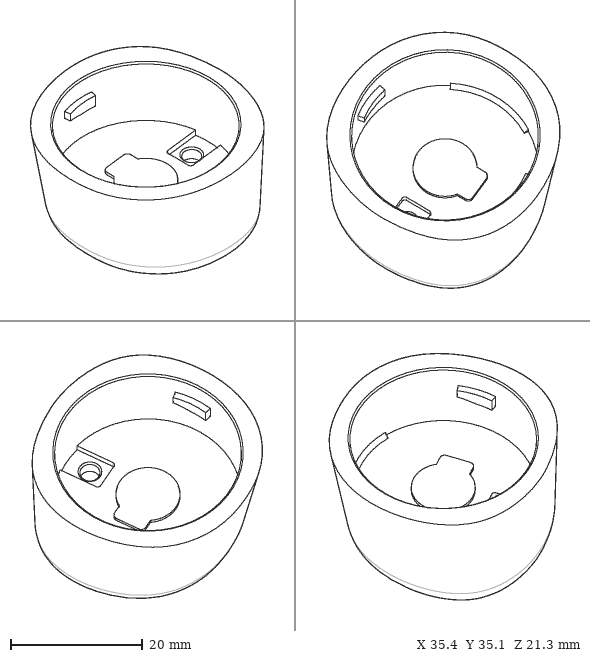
import cadquery as cq
import math

FORWARD_DIRECTION = 120

RIM_OUTLINE = [
    (0, 16.95),
    (20, 17.22),
    (38, 17.82),
    (55, 18.0),
    (100, 17.3),
    (132, 17.57),
    (156, 17.4),
    (180, 17.1),
    (204, 17.4),
    (228, 17.47),
    (260, 17.3),
    (310, 18.05),
    (333, 17.4),
]

WALL_HEIGHT = 23
FOOT_LENGTH_SCALE = 0.87
FOOT_WIDTH_SCALE = 0.9
FOOT_SHIFT = 1.8

BOTTOM_DEPTH = 20.12
BOTTOM_TILT = 5.5
BOTTOM_FILLET = 4.42

BORE_RADIUS = 14.2
BORE_DEPTH = 11.75
EDGE_CHAMFER = 0.3

BOSS_HEIGHT = 0.53
BOSS_RADIUS = 4.88
KEY_REACH = 6.3
KEY_WIDTH = 5.45
KEY_CORNER = 0.78

POCKET_START = 7.2
POCKET_WIDTH = 5.13
POCKET_OFFSET = -0.18
POCKET_DEPTH = 1.05
POCKET_CORNER = 0.5
HOLE_DISTANCE = 10.25
HOLE_RADIUS = 1.52
HOLE_DEPTH = 2.12

LUG_INNER_RADIUS = 13.15
LUG_TOP = 3.6
LUG_HEIGHT = 2.12
LUG_ARC = 25
LUG_LEAD_RISE = 0.78

RIB_WIDTH = 0.7
RIB_HEIGHT = 0.7
RIB_ARC = 60

OVERLAP = 0.53


def polar_point(radius, angle):
    return (radius * math.cos(math.radians(angle)), radius * math.sin(math.radians(angle)))


def outer_body():
    rim = [polar_point(radius, angle) for angle, radius in RIM_OUTLINE]
    foot = [(FOOT_LENGTH_SCALE * x + FOOT_SHIFT, FOOT_WIDTH_SCALE * y) for x, y in rim]
    wall = (
        cq.Workplane("XY")
        .spline(rim, periodic=True)
        .close()
        .workplane(offset=-WALL_HEIGHT)
        .spline(foot, periodic=True)
        .close()
        .loft(ruled=True, combine=True)
    )
    block_size = 4 * WALL_HEIGHT
    below_bottom = (
        cq.Workplane("XY")
        .box(block_size, block_size, block_size, centered=(True, True, False))
        .translate((0, 0, -block_size))
        .rotate((0, 0, 0), (0, 1, 0), BOTTOM_TILT)
        .translate((0, 0, -BOTTOM_DEPTH))
    )
    return wall.cut(below_bottom).faces("<Z").edges().fillet(BOTTOM_FILLET)


def bore():
    hole = cq.Workplane("XY").circle(BORE_RADIUS).extrude(-BORE_DEPTH)
    mouth = (
        cq.Workplane("XY")
        .circle(BORE_RADIUS + EDGE_CHAMFER)
        .workplane(offset=-EDGE_CHAMFER)
        .circle(BORE_RADIUS)
        .loft()
    )
    return hole.union(mouth)


def floor_boss():
    disc = cq.Workplane("XY").circle(BOSS_RADIUS).extrude(BOSS_HEIGHT)
    key = (
        cq.Workplane("XY")
        .rect(KEY_WIDTH, 2 * KEY_REACH)
        .extrude(BOSS_HEIGHT)
        .edges("|Z")
        .fillet(KEY_CORNER)
        .intersect(cq.Workplane("XY").box(KEY_WIDTH, KEY_REACH, BOSS_HEIGHT, centered=(True, False, False)))
    )
    return disc.union(key).translate((0, 0, -BORE_DEPTH))


def floor_pocket():
    length = BORE_RADIUS - POCKET_START
    recess = (
        cq.Workplane("XY", origin=(POCKET_START + length / 2, POCKET_OFFSET, 0))
        .rect(length, POCKET_WIDTH)
        .extrude(-POCKET_DEPTH)
        .edges("|Z and <X")
        .fillet(POCKET_CORNER)
        .intersect(cq.Workplane("XY").circle(BORE_RADIUS).extrude(-POCKET_DEPTH))
    )
    hole_floor = POCKET_DEPTH + HOLE_DEPTH
    hole = (
        cq.Workplane("XY", origin=(HOLE_DISTANCE, POCKET_OFFSET, -hole_floor))
        .circle(HOLE_RADIUS)
        .extrude(hole_floor)
    )
    chamfer = (
        cq.Workplane("XY", origin=(HOLE_DISTANCE, POCKET_OFFSET, -POCKET_DEPTH))
        .circle(HOLE_RADIUS + EDGE_CHAMFER)
        .workplane(offset=-EDGE_CHAMFER)
        .circle(HOLE_RADIUS)
        .loft()
    )
    return recess.union(hole).union(chamfer).translate((0, 0, -BORE_DEPTH))


def swept_about_bore(profile, start_angle, arc):
    """Revolve a closed (radius, z) profile about the bore axis."""
    ring = cq.Workplane("XZ").polyline(profile).close().revolve(arc, (0, 0, 0), (0, 1, 0))
    return ring.rotate((0, 0, 0), (0, 0, 1), start_angle)


def lug(direction):
    """Arc segment whose underside rises over its counterclockwise half as a lead-in."""
    outer = BORE_RADIUS + OVERLAP
    bottom = LUG_TOP + LUG_HEIGHT
    profile = [
        (LUG_INNER_RADIUS, -LUG_TOP),
        (outer, -LUG_TOP),
        (outer, -bottom),
        (LUG_INNER_RADIUS, -bottom),
    ]
    half_width = outer * math.sin(math.radians(LUG_ARC / 2))
    lead_in = (
        cq.Workplane("YZ")
        .polyline([(0, -bottom), (half_width, -bottom), (half_width, LUG_LEAD_RISE - bottom)])
        .close()
        .extrude(outer)
    )
    segment = swept_about_bore(profile, -LUG_ARC / 2, LUG_ARC).cut(lead_in)
    return segment.rotate((0, 0, 0), (0, 0, 1), direction)


def rear_rib():
    inner = BORE_RADIUS - RIB_WIDTH
    outer = BORE_RADIUS + OVERLAP
    profile = [
        (inner, -BORE_DEPTH - OVERLAP),
        (inner, -BORE_DEPTH),
        (BORE_RADIUS, RIB_HEIGHT - BORE_DEPTH),
        (outer, RIB_HEIGHT - BORE_DEPTH),
        (outer, -BORE_DEPTH - OVERLAP),
    ]
    return swept_about_bore(profile, 180 - RIB_ARC / 2, RIB_ARC)


cup = outer_body().cut(bore()).cut(floor_pocket()).union(floor_boss()).union(rear_rib())
for direction in (-90, 90):
    cup = cup.union(lug(direction))

result = cup.rotate((0, 0, 0), (0, 0, 1), FORWARD_DIRECTION)